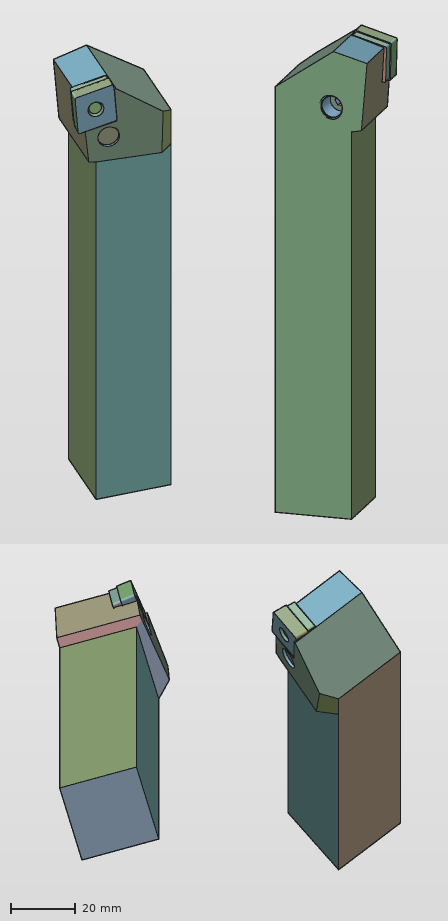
import cadquery as cq
import math

shank = 25.0
head_top = 152.0
back_top = 138.9
peak_y = 6.0
head_front_top = (-5.0, 149.1)
head_front_bottom = (-3.2, 127.0)
head_base = 126.3
head_width = 29.9
corner_chamfer = head_width - shank
side_lean_y = 0.12
side_lean_z = 0.05

seat_origin = (21.5, 0.0, 145.0)
seat_lean_y = 0.1
seat_lean_z = 0.08
seat_turn = math.radians(13.5)
rhombus_angle = math.radians(100)

insert_side = 12.9
insert_thickness = 4.7
insert_nose = 0.6
insert_hole = 5.0
shim_side = 12.1
shim_thickness = 2.9
pin_diameter = 4.0
pin_depth = 6.1
pin_height = 3.8

screw_entry = (0, 6.6, 133.8)
screw_bore = 6.9
screw_mouth = 8.0
screw_recess = 6.7
screw_length = 19.9
socket_size = 3.7
socket_depth = 3.0
clear = 46.0


def leaned_plane(origin, lean_y, lean_z, turn=0.0):
    """Plane facing +X, leaned, with its local x turned from Y towards Z."""
    along_y = math.cos(turn)
    along_z = math.sin(turn)
    x_dir = (lean_y * along_y - lean_z * along_z, along_y, along_z)
    return cq.Plane(origin, xDir=x_dir, normal=(1, -lean_y, lean_z))


seat = cq.Workplane(leaned_plane(seat_origin, seat_lean_y, seat_lean_z, seat_turn))
screw_start = cq.Workplane(leaned_plane(screw_entry, side_lean_y, side_lean_z))


def rhombus_plate(side, height):
    """Rhombic plate with rounded corners, built on the seat and centred there."""
    half = side / 2
    run = half * math.cos(rhombus_angle)
    rise = half * math.sin(rhombus_angle)
    corners = [
        (-half - run, rise),
        (half - run, rise),
        (half + run, -rise),
        (-half + run, -rise),
    ]
    plate = seat.polyline(corners).close().extrude(height)
    return plate.edges(cq.selectors.ParallelDirSelector(seat.plane.zDir)).fillet(insert_nose)


def make_pin():
    """Round pin that locates the shim and the insert."""
    below = seat.circle(pin_diameter / 2).extrude(-pin_depth)
    return below.union(seat.circle(pin_diameter / 2).extrude(pin_height))


def make_shim():
    return rhombus_plate(shim_side, -shim_thickness).cut(make_pin())


def make_insert():
    hole = seat.circle(insert_hole / 2).extrude(insert_thickness)
    return rhombus_plate(insert_side, insert_thickness).cut(hole)


def make_screw():
    """Set screw with a hexagon socket."""
    head = screw_start.workplane(offset=screw_recess)
    body = head.circle(screw_bore / 2).extrude(screw_length)
    return body.cut(head.polygon(6, socket_size).extrude(socket_depth))


def make_holder_blank():
    """Shank and head, where the side, front and plan outlines meet."""
    side_outline = [
        (0, 0),
        (shank, 0),
        (shank, back_top),
        (peak_y, head_top),
        head_front_top,
        head_front_bottom,
        (0, head_base),
    ]
    front_outline = [
        (0, 0),
        (shank, 0),
        (shank, head_base),
        (head_width, head_front_bottom[1]),
        (head_width, head_top),
        (0, head_top),
    ]
    side_body = cq.Workplane("YZ").polyline(side_outline).close().extrude(head_width)
    front_body = (
        cq.Workplane("XZ", origin=(0, shank, 0)).polyline(front_outline).close().extrude(clear)
    )
    blank = side_body.intersect(front_body)
    chamfer = (
        cq.Workplane("XY")
        .polyline([(shank, shank), (head_width, shank), (head_width, shank - corner_chamfer)])
        .close()
        .extrude(head_top)
    )
    lean_edge = (head_width, shank - corner_chamfer, head_front_bottom[1])
    outside = (
        cq.Workplane(leaned_plane(lean_edge, side_lean_y, side_lean_z))
        .rect(2 * clear, 2 * clear)
        .extrude(clear)
    )
    return blank.cut(chamfer).cut(outside)


def make_holder():
    shim_pocket = rhombus_plate(shim_side, -shim_thickness)
    insert_pocket = rhombus_plate(insert_side, clear)
    bore = screw_start.workplane(offset=-screw_mouth).circle(screw_bore / 2).extrude(clear)
    mouth_depth = (screw_mouth - screw_bore) / 2
    mouth = (
        screw_start.circle(screw_mouth / 2)
        .workplane(offset=mouth_depth)
        .circle(screw_bore / 2)
        .loft()
    )
    holder = make_holder_blank().cut(shim_pocket).cut(insert_pocket)
    return holder.cut(make_pin()).cut(bore).cut(mouth)


holder = make_holder()
shim = make_shim()
insert = make_insert()
pin = make_pin()
screw = make_screw()

result = cq.Compound.makeCompound(
    [holder.val(), shim.val(), insert.val(), pin.val(), screw.val()]
)